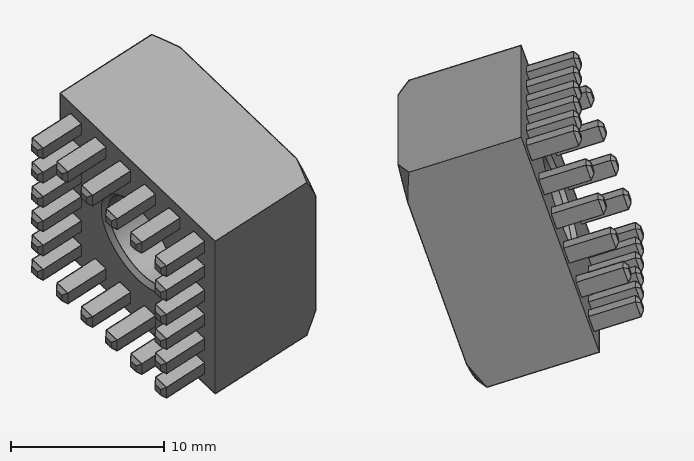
import cadquery as cq
import math

side = 16.0
body_depth = 8.5
half_side = side / 2

pin_length = 3.5
pin_width = 1.12
pin_tip_taper = 0.27
pins_per_side = 6
pin_pitch = 2.55

bore_diameter = 6.85
countersink_diameter = 7.52

corner_trim_radius = 10.0
corner_trim_angle = 30.0

front_face = pin_length - (body_depth + pin_length) / 2
back_face = front_face + body_depth


def plane_at(y):
    """Plane across the Y axis at y, with its normal pointing to +Y."""
    return cq.Workplane(cq.Plane(origin=(0, y, 0), xDir=(1, 0, 0), normal=(0, 1, 0)))


def trimmed_body():
    """Block whose back corners are cut by a cone around the bore axis."""
    block = plane_at(front_face).rect(side, side).extrude(body_depth)
    corner_radius = math.hypot(half_side, half_side)
    trim_depth = (corner_radius - corner_trim_radius) * math.tan(math.radians(corner_trim_angle))
    envelope = (
        cq.Workplane("XY")
        .moveTo(0, front_face)
        .lineTo(corner_radius, front_face)
        .lineTo(corner_radius, back_face - trim_depth)
        .lineTo(corner_trim_radius, back_face)
        .lineTo(0, back_face)
        .close()
        .revolve(360, (0, 0, 0), (0, 1, 0))
    )
    return block.intersect(envelope)


def countersunk_bore():
    """Cutter for the bore and its 45 degree countersink."""
    bore_radius = bore_diameter / 2
    countersink_radius = countersink_diameter / 2
    countersink_depth = countersink_radius - bore_radius
    return (
        cq.Workplane("XY")
        .moveTo(0, front_face)
        .lineTo(countersink_radius, front_face)
        .lineTo(bore_radius, front_face + countersink_depth)
        .lineTo(bore_radius, back_face)
        .lineTo(0, back_face)
        .close()
        .revolve(360, (0, 0, 0), (0, 1, 0))
    )


def pin_centres():
    """Centres of a square frame of pins around the bore."""
    last = pins_per_side - 1
    offsets = [(i - last / 2) * pin_pitch for i in range(pins_per_side)]
    outer = (offsets[0], offsets[last])
    return [(x, z) for x in offsets for z in offsets if x in outer or z in outer]


def pins():
    """All pins, standing on the front face and pointing to -Y."""
    return (
        plane_at(front_face)
        .pushPoints(pin_centres())
        .rect(pin_width, pin_width)
        .extrude(-pin_length)
        .faces("<Y")
        .chamfer(pin_tip_taper)
    )


result = trimmed_body().cut(countersunk_bore()).union(pins())